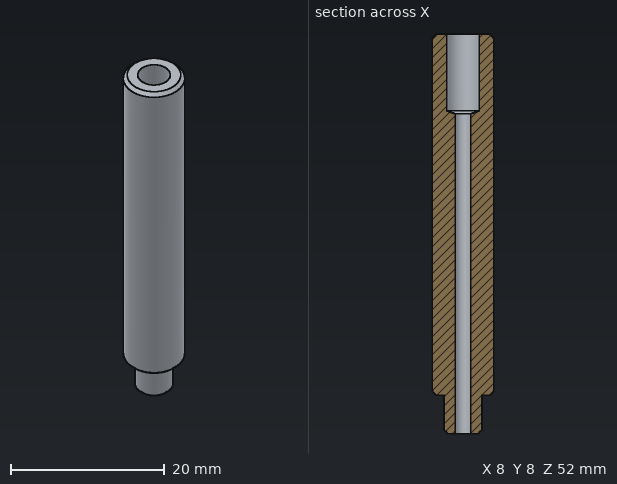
import cadquery as cq
import math

total_length = 52.0
stud_length = 5.0

body_diameter = 8.0
stud_diameter = 5.0
chamfer = 0.5

bore_diameter = 4.2
bore_depth = 10.0
drill_point_angle = 140.0
through_diameter = 2.0

body_radius = body_diameter / 2
stud_radius = stud_diameter / 2
bore_radius = bore_diameter / 2
through_radius = through_diameter / 2

bore_floor = total_length - bore_depth
cone_height = (bore_radius - through_radius) / math.tan(math.radians(drill_point_angle / 2))

half_section = [
    (through_radius, 0),
    (stud_radius - chamfer, 0),
    (stud_radius, chamfer),
    (stud_radius, stud_length),
    (body_radius - chamfer, stud_length),
    (body_radius, stud_length + chamfer),
    (body_radius, total_length - chamfer),
    (body_radius - chamfer, total_length),
    (bore_radius, total_length),
    (bore_radius, bore_floor),
    (through_radius, bore_floor - cone_height),
]

result = cq.Workplane("XZ").polyline(half_section).close().revolve(360, (0, 0, 0), (0, 1, 0))